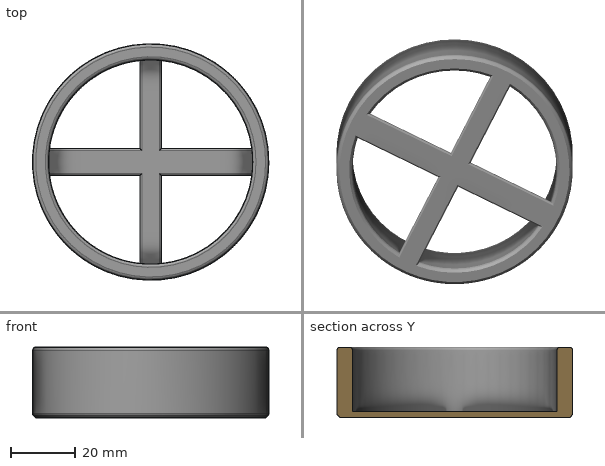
import cadquery as cq

outer_diameter = 73.5
inner_diameter = 63.5
height = 22.0
rim_fillet = 1.0
ring_chamfer = 1.0
ring_blend = 1.0

arm_x_width = 8.5
arm_y_width = 6.78
cross_thickness = 2.0
cross_fillet = 0.7
cross_chamfer = 0.5
cross_blend = 0.5

arm_length = (outer_diameter + inner_diameter) / 2


def edges_at_height(body, level):
    """Edges of the body that lie flat at the given height."""
    margin = 0.01
    low_corner = (-outer_diameter, -outer_diameter, level - margin)
    high_corner = (outer_diameter, outer_diameter, level + margin)
    return body.edges(cq.selectors.BoxSelector(low_corner, high_corner, boundingbox=True))


def shape_foot(body, chamfer, blend):
    """Chamfer all bottom edges and blend the chamfer into the upright walls."""
    chamfered = body.faces("<Z").edges().chamfer(chamfer)
    return edges_at_height(chamfered, chamfer).fillet(blend)


def make_ring():
    """Tube with a rounded top rim and a blended chamfer at the foot."""
    tube = cq.Workplane("XY").circle(outer_diameter / 2).circle(inner_diameter / 2).extrude(height)
    return shape_foot(tube, ring_chamfer, ring_blend).faces(">Z").edges().fillet(rim_fillet)


def make_cross():
    """Flat cross with rounded top edges and a blended chamfer at the foot."""
    arm_along_x = cq.Workplane("XY").rect(arm_length, arm_x_width).extrude(cross_thickness)
    arm_along_y = cq.Workplane("XY").rect(arm_y_width, arm_length).extrude(cross_thickness)
    cross = arm_along_x.union(arm_along_y)
    return shape_foot(cross, cross_chamfer, cross_blend).faces(">Z").edges().fillet(cross_fillet)


result = make_ring().union(make_cross())